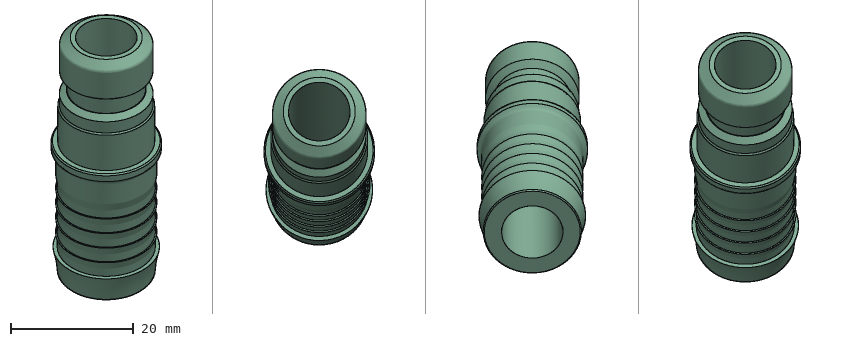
import cadquery as cq
import math

length = 48.0
bore_radius = 10.0 / 2

root_radius = 16.0 / 2
sleeve_radius = 16.5 / 2
end_barb_radius = 17.4 / 2
end_barb_mid_radius = 16.4 / 2
end_barb_top = 5.0
end_chamfer_width = 0.2
end_chamfer_height = 0.25
barb_pitch = 3.0
barb_taper_height = barb_pitch / 2
barb_count = 5

flange_radius = 18.0 / 2
flange_top = 26.7
flange_chamfer = 0.25
flange_cove_radius = 1.0
flange_cove_bottom = 24.1

body_radius = 15.8 / 2
body_top = 34.2
head_radius = 15.25 / 2
neck_radius = 12.8 / 2
neck_ledge_radius = 13.0 / 2
neck_bottom = 37.3
neck_top = 40.3
tip_radius = 11.7 / 2
tip_fillet = 0.5
cone_angle = math.radians(35)


def add_end_barb(outline):
    """Large barb at the lower end, with a slightly hollow flank."""
    flank_middle = (end_chamfer_height + end_barb_top) / 2
    return (
        outline.lineTo(root_radius - end_chamfer_width, 0)
        .lineTo(root_radius, end_chamfer_height)
        .threePointArc((end_barb_mid_radius, flank_middle), (end_barb_radius, end_barb_top))
    )


def add_small_barbs(outline):
    """Row of barbs that widen upward; the last one runs into the sleeve."""
    for index in range(barb_count):
        start = end_barb_top + index * barb_pitch
        crest = start + barb_pitch
        outline = (
            outline.lineTo(root_radius, start)
            .lineTo(root_radius, crest - barb_taper_height)
            .lineTo(sleeve_radius, crest)
        )
    return outline


def add_flange(outline):
    """Flange with a coved, sloping underside and a chamfered upper rim."""
    half_angle = math.radians(22.5)
    full_angle = 2 * half_angle
    center_radius = sleeve_radius + flange_cove_radius
    cove_middle = (
        center_radius - flange_cove_radius * math.cos(half_angle),
        flange_cove_bottom + flange_cove_radius * math.sin(half_angle),
    )
    cove_end_radius = center_radius - flange_cove_radius * math.cos(full_angle)
    cove_end = flange_cove_bottom + flange_cove_radius * math.sin(full_angle)
    rim_bottom = cove_end + flange_radius - cove_end_radius
    return (
        outline.lineTo(sleeve_radius, flange_cove_bottom)
        .threePointArc(cove_middle, (cove_end_radius, cove_end))
        .lineTo(flange_radius, rim_bottom)
        .lineTo(flange_radius, flange_top - flange_chamfer)
        .lineTo(flange_radius - flange_chamfer, flange_top)
    )


def add_plug(outline):
    """Plug body, locking groove with sloping sides, and tapered tip."""
    body_chamfer = body_radius - head_radius
    lower_cone_height = (head_radius - neck_ledge_radius) * math.tan(cone_angle)
    upper_cone_height = (head_radius - neck_radius) * math.tan(cone_angle)
    return (
        outline.lineTo(body_radius, flange_top)
        .lineTo(body_radius, body_top - body_chamfer)
        .lineTo(head_radius, body_top)
        .lineTo(head_radius, neck_bottom - lower_cone_height)
        .lineTo(neck_ledge_radius, neck_bottom)
        .lineTo(neck_radius, neck_bottom)
        .lineTo(neck_radius, neck_top)
        .lineTo(head_radius, neck_top + upper_cone_height)
        .lineTo(head_radius, shoulder_height)
        .lineTo(tip_radius, length)
    )


shoulder_height = length - (head_radius - tip_radius) * math.tan(cone_angle)

outline = cq.Workplane("XZ").moveTo(bore_radius, 0)
outline = add_end_barb(outline)
outline = add_small_barbs(outline)
outline = add_flange(outline)
outline = add_plug(outline)
fitting = outline.lineTo(bore_radius, length).close().revolve(360, (0, 0, 0), (0, 1, 0))

search_margin = 0.05
shoulder_box = cq.selectors.BoxSelector(
    (-flange_radius, -flange_radius, shoulder_height - search_margin),
    (flange_radius, flange_radius, shoulder_height + search_margin),
    boundingbox=True,
)
result = fitting.edges(shoulder_box).fillet(tip_fillet)